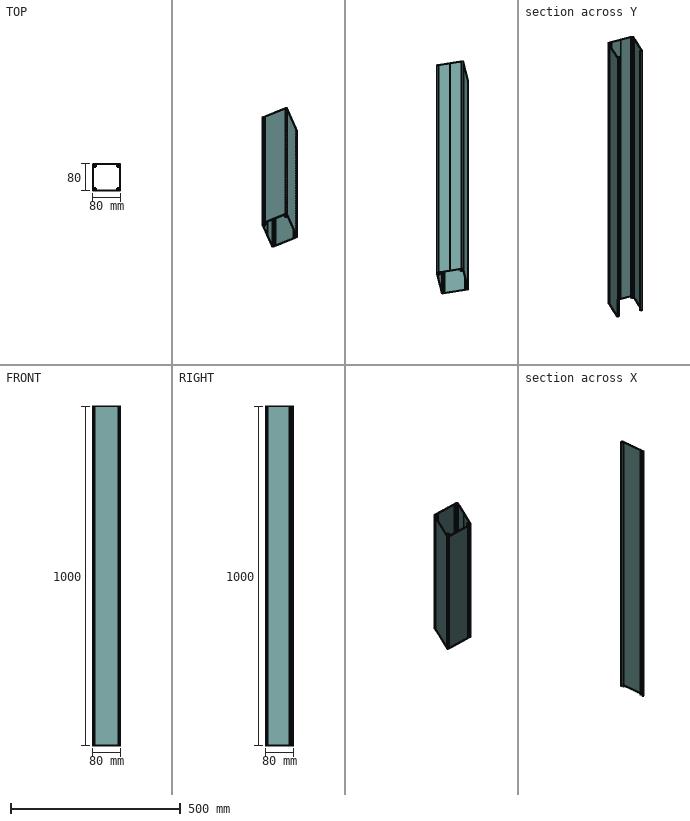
import cadquery as cq
import math

side = 80.0
length = 1000.0

wall = 1.5
corner_radius = 3.0

boss_centre_inset = 6.0
boss_radius = 4.0
screw_hole_radius = 3.0
slot_width = 4.0

cover_depth = 10.0
seam_groove_width = 3.0
seam_groove_depth = 0.5

mark_width = 0.5
mark_depth = 0.3

half = side / 2
inner_half = half - wall
boss_offset = half - boss_centre_inset
seam_y = half - cover_depth
signs = (-1, 1)
corners = [(sign_x, sign_y) for sign_x in signs for sign_y in signs]


def make_tube():
    """Thin square tube with rounded outer edges."""
    outside = cq.Workplane("XY").rect(side, side).extrude(length).edges("|Z").fillet(corner_radius)
    inside = cq.Workplane("XY").rect(2 * inner_half, 2 * inner_half).extrude(length)
    return outside.cut(inside)


def corner_boss(sign_x, sign_y):
    """Round boss joined to both walls of one corner."""
    centre = (sign_x * boss_offset, sign_y * boss_offset)
    web_centre = (inner_half + boss_offset) / 2
    web_size = inner_half - boss_offset
    boss = cq.Workplane("XY").center(*centre).circle(boss_radius).extrude(length)
    web = (
        cq.Workplane("XY")
        .center(sign_x * web_centre, sign_y * web_centre)
        .rect(web_size, web_size)
        .extrude(length)
    )
    return boss.union(web)


def screw_port(sign_x, sign_y):
    """Screw hole with a slot opening diagonally into the tube."""
    slot_length = 2 * boss_radius
    hole = cq.Workplane("XY").circle(screw_hole_radius).extrude(length)
    slot = cq.Workplane("XY").center(-slot_length / 2, 0).rect(slot_length, slot_width).extrude(length)
    port = hole.union(slot)
    outward_angle = math.degrees(math.atan2(sign_y, sign_x))
    turned_port = port.rotate((0, 0, 0), (0, 0, 1), outward_angle)
    return turned_port.translate((sign_x * boss_offset, sign_y * boss_offset, 0))


def seam_groove(sign_x):
    """Shallow groove along one outer seam, half in each body."""
    return (
        cq.Workplane("XY")
        .center(sign_x * half, seam_y)
        .rect(2 * seam_groove_depth, seam_groove_width)
        .extrude(length)
    )


def centre_mark():
    """V line cut into the inner face of the cover."""
    return (
        cq.Workplane("XY")
        .polyline(
            [
                (-mark_width / 2, inner_half),
                (0, inner_half + mark_depth),
                (mark_width / 2, inner_half),
            ]
        )
        .close()
        .extrude(length)
    )


def make_profile():
    """Complete closed section before it is divided into channel and cover."""
    profile = make_tube()
    for sign_x, sign_y in corners:
        profile = profile.union(corner_boss(sign_x, sign_y))
    for sign_x, sign_y in corners:
        profile = profile.cut(screw_port(sign_x, sign_y))
    for sign_x in signs:
        profile = profile.cut(seam_groove(sign_x))
    return profile.cut(centre_mark())


def make_cover_region():
    """Block that holds everything on the cover side of the seam."""
    return cq.Workplane("XY").center(0, half - cover_depth / 2).rect(side, cover_depth).extrude(length)


profile = make_profile()
cover_region = make_cover_region()
channel = profile.cut(cover_region)
cover = profile.intersect(cover_region)

result = cq.Compound.makeCompound([channel.val(), cover.val()])